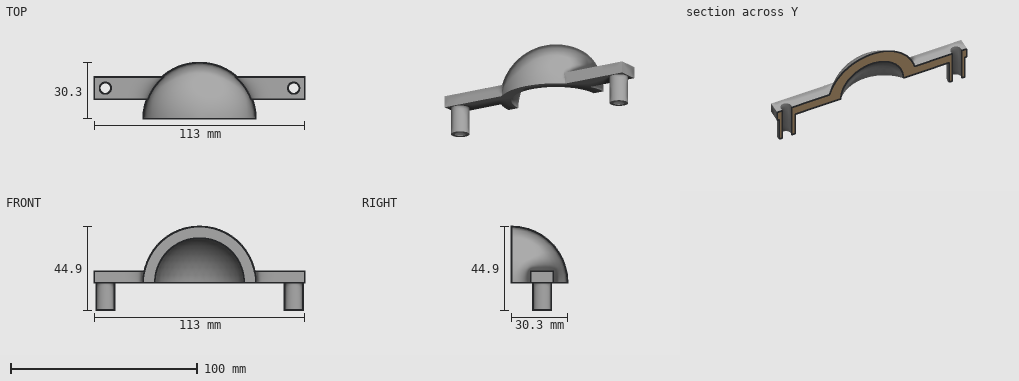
import cadquery as cq

outer_radius = 30.25
wall_thickness = 6.25
inner_radius = outer_radius - wall_thickness

bar_length = 113.0
bar_width = 12.0
bar_thickness = wall_thickness
bar_center_y = 16.5

post_diameter = 10.0
hole_diameter = 6.0
post_length = 14.6
post_spacing = bar_length - bar_width

post_centers = [(side * post_spacing / 2, bar_center_y) for side in (-1, 1)]


def quarter_ball(radius):
    """Quarter of a ball filling the +Y, +Z side of the origin."""
    keep = cq.Workplane("XY").box(2 * radius, radius, radius, centered=(True, False, False))
    return cq.Workplane("XY").sphere(radius).intersect(keep)


def mounting_bar():
    """Flat bar whose underside lies on the open rim of the shell."""
    bar = cq.Workplane("XY").box(bar_length, bar_width, bar_thickness, centered=(True, True, False))
    return bar.translate((0, bar_center_y, 0))


def posts():
    """Round posts hanging from the underside of the bar."""
    return cq.Workplane("XY").pushPoints(post_centers).circle(post_diameter / 2).extrude(-post_length)


def screw_holes():
    """Through holes along the post axes, from the post tips to the top of the bar."""
    hole_depth = post_length + bar_thickness
    base = cq.Workplane("XY").workplane(offset=-post_length)
    return base.pushPoints(post_centers).circle(hole_diameter / 2).extrude(hole_depth)


body = quarter_ball(outer_radius).union(mounting_bar()).union(posts())
result = body.cut(quarter_ball(inner_radius)).cut(screw_holes())